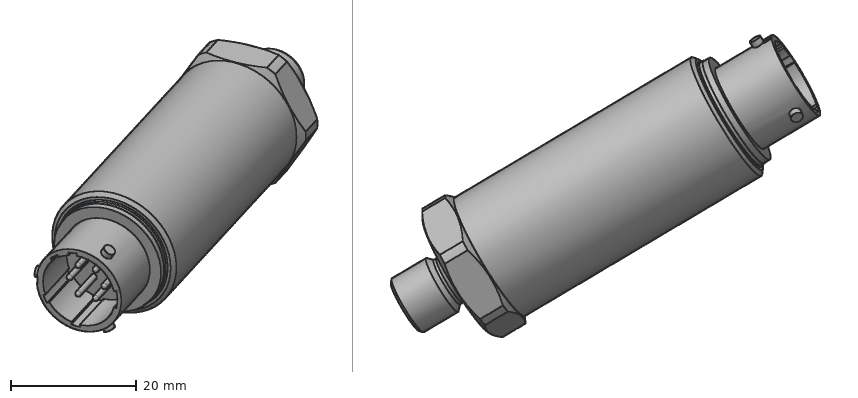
import cadquery as cq
import math

overall_length = 73.1

shell_diameter = 15.0
shell_length = 10.5
bore_diameter = 12.7
bore_depth = 8.8

keyway_diameter = 13.6
main_keyway_width = 3.15
minor_keyway_width = 1.45
keyways = [(0, main_keyway_width)] + [(angle, minor_keyway_width) for angle in (100, 131, 208, 265)]

contact_count = 6
contact_diameter = 1.0
contact_circle_radius = 3.1
contact_setback = 2.5

stud_count = 3
stud_start_angle = 60
stud_diameter = 2.0
stud_tip_radius = 8.55
stud_setback = 2.4

mark_width = 1.2
mark_depth = 0.15

flange_diameter = 19.1
flange_length = 1.9
flange_front_diameter = 18.9
flange_front_length = 1.1
flange_root_chamfer = 0.2
body_diameter = 22.0
body_chamfer_length = 0.6
body_chamfer_diameter = 20.55

nut_across_flats = body_diameter
nut_corner_diameter = 24.5
nut_face_diameter = 21.6
nut_length = 6.0
nut_bevel_angle = 30
nut_turn = 30

port_diameter = 10.0
port_length = 9.8
port_chamfer = 0.45
undercut_diameter = 8.25
undercut_flare_length = 1.5
undercut_length = 0.5
undercut_runout_length = 0.9

flange_rear = shell_length + flange_length
nut_rear = overall_length - port_length
nut_front = nut_rear - nut_length
axis_end = (0, 1, 0)


def cylinder(diameter, start, end):
    """Cylinder on the Y axis between two stations."""
    return cq.Workplane("XZ", origin=(0, start, 0)).circle(diameter / 2).extrude(start - end)


def revolved(profile):
    """Solid of revolution about Y from (radius, station) points."""
    return cq.Workplane("XY").polyline(profile).close().revolve(360, (0, 0, 0), axis_end)


def make_housing():
    """Shell, flange, body and port as one turned piece."""
    undercut_front = nut_rear + undercut_flare_length
    undercut_rear = undercut_front + undercut_length
    return revolved([
        (0, 0),
        (shell_diameter / 2, 0),
        (shell_diameter / 2, shell_length),
        (flange_front_diameter / 2, shell_length),
        (flange_front_diameter / 2, shell_length + flange_front_length),
        (flange_diameter / 2, shell_length + flange_front_length),
        (flange_diameter / 2, flange_rear - flange_root_chamfer),
        (flange_diameter / 2 + flange_root_chamfer, flange_rear),
        (body_chamfer_diameter / 2, flange_rear),
        (body_diameter / 2, flange_rear + body_chamfer_length),
        (body_diameter / 2, nut_front),
        (port_diameter / 2, nut_front),
        (port_diameter / 2, nut_rear),
        (undercut_diameter / 2, undercut_front),
        (undercut_diameter / 2, undercut_rear),
        (port_diameter / 2, undercut_rear + undercut_runout_length),
        (port_diameter / 2, overall_length - port_chamfer),
        (port_diameter / 2 - port_chamfer, overall_length),
        (0, overall_length),
    ])


def make_nut():
    """Hexagon with flats facing +Z and -Z, rounded corners and both faces bevelled."""
    hexagon = (
        cq.Workplane("XZ", origin=(0, nut_front, 0))
        .polygon(6, nut_across_flats, circumscribed=True)
        .extrude(-nut_length)
        .rotate((0, 0, 0), axis_end, nut_turn)
    )
    face_radius = nut_face_diameter / 2
    corner_radius = nut_corner_diameter / 2
    bevel_length = (corner_radius - face_radius) * math.tan(math.radians(nut_bevel_angle))
    envelope = revolved([
        (0, nut_front),
        (face_radius, nut_front),
        (corner_radius, nut_front + bevel_length),
        (corner_radius, nut_rear - bevel_length),
        (face_radius, nut_rear),
        (0, nut_rear),
    ])
    return hexagon.intersect(envelope)


def make_socket():
    """Cavity of the plug: bore plus keyways of full bore depth."""
    socket = cylinder(bore_diameter, 0, bore_depth)
    keyway_limit = cylinder(keyway_diameter, 0, bore_depth)
    for angle, width in keyways:
        bar = cq.Workplane("XY").box(
            keyway_diameter, bore_depth, width, centered=(False, False, True)
        )
        bar = bar.rotate((0, 0, 0), axis_end, -angle)
        socket = socket.union(bar.intersect(keyway_limit))
    return socket


def make_contacts():
    """Ring of round-tipped contact pins rising from the bore floor."""
    tip_radius = contact_diameter / 2
    tip_center = contact_setback + tip_radius
    stems = (
        cq.Workplane("XZ", origin=(0, tip_center, 0))
        .polarArray(contact_circle_radius, 0, 360, contact_count)
        .circle(tip_radius)
        .extrude(tip_center - shell_length)
    )
    tips = (
        cq.Workplane("XZ", origin=(0, tip_center, 0))
        .polarArray(contact_circle_radius, 0, 360, contact_count)
        .sphere(tip_radius)
    )
    return stems.union(tips)


def make_studs():
    """Radial bayonet studs, rooted in the shell wall."""
    root_radius = (keyway_diameter + shell_diameter) / 4
    stud = (
        cq.Workplane("YZ", origin=(root_radius, stud_setback, 0))
        .circle(stud_diameter / 2)
        .extrude(stud_tip_radius - root_radius)
    )
    studs = cq.Workplane("XY")
    for index in range(stud_count):
        angle = stud_start_angle + index * 360 / stud_count
        studs = studs.add(stud.rotate((0, 0, 0), axis_end, -angle))
    return studs


def make_index_mark():
    """Curved shallow groove on the -X side of the shell."""
    ring = cylinder(shell_diameter, 0, stud_setback)
    ring = ring.cut(cylinder(shell_diameter - 2 * mark_depth, 0, stud_setback))
    bar = cq.Workplane("XY").box(
        shell_diameter, stud_setback, mark_width, centered=(False, False, True)
    )
    return ring.intersect(bar.translate((-shell_diameter, 0, 0)))


result = make_housing().union(make_nut())
result = result.cut(make_socket()).cut(make_index_mark())
result = result.union(make_contacts())
for bayonet_stud in make_studs().vals():
    result = result.union(cq.Workplane(bayonet_stud))